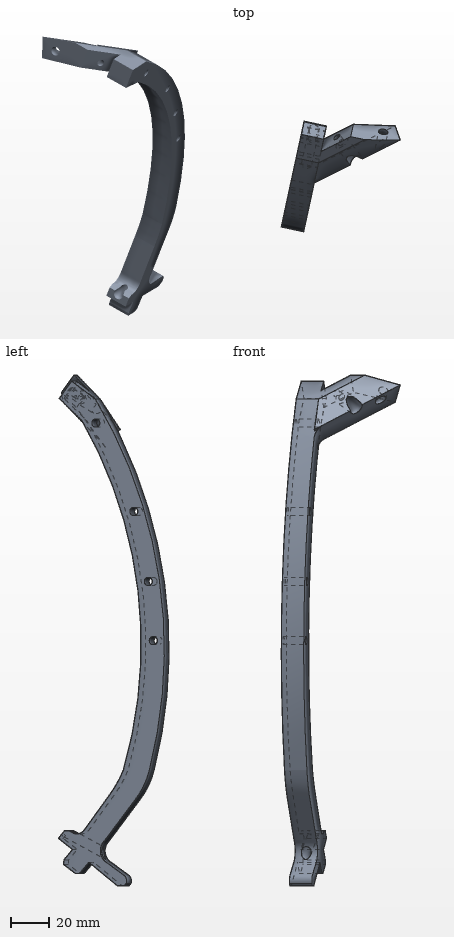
import cadquery as cq
import math

strap_thickness = 12.0
strap_turn = 12.2

end_tilt = 36.5
end_length = 15.7
end_depth = 11.2
outer_kink = (37.0, 254.2)
inner_kink = (44.3, 243.0)

arm_angle = 45
arm_end = 21.0
arm_reach = 80
arm_lip = 5.3
arm_width = 12.8
arm_bevel_drop = 6.5
arm_foot_width = 10.0
arm_foot_depth = 17.5
arm_fillet = 9.3

side_hole_diameter = 4.3
side_holes = [(36.8, 241.5), (16.5, 195.5), (8.8, 159.0), (6.1, 128.0)]
cross_hole_diameter = 3.7
cross_hole_place = 14.5
cross_hole_depth = 6.7
counterbore_diameter = 7.5
counterbore_start = -0.8
end_hole_diameter = 4.8
end_hole_place = 29.5
end_hole_depth = 10.1
foot_hole_diameter = 5.3
foot_hole_mouth = (34.5, 17.5)
foot_hole_tilt = 28
foot_hole_clearance = 4.0
drill_length = 53.3

tilt = math.radians(end_tilt)


def along_end(start, along, outward):
    """Point reached from start by going along the tilted end and out of its outer face."""
    return (
        start[0] + along * math.cos(tilt) - outward * math.sin(tilt),
        start[1] + along * math.sin(tilt) + outward * math.cos(tilt),
    )


def make_strap():
    end_outer = along_end(outer_kink, end_length, 0)
    end_inner = along_end(outer_kink, end_length, -end_depth)
    return (
        cq.Workplane("YZ")
        .moveTo(*end_outer)
        .lineTo(*outer_kink)
        .threePointArc((1.0, 144.0), (8.3, 60.3))
        .threePointArc((11.5, 51.7), (16.5, 44.0))
        .lineTo(32.0, 23.7)
        .threePointArc((34.5, 18.0), (30.5, 11.7))
        .lineTo(22.0, 5.5)
        .threePointArc((20.5, 3.7), (20.5, 1.3))
        .lineTo(21.5, 0)
        .lineTo(25.3, 0)
        .lineTo(40.5, 12.3)
        .lineTo(45.5, 6.5)
        .lineTo(47.7, 6.5)
        .lineTo(54.1, 11.2)
        .lineTo(54.0, 13.5)
        .lineTo(49.3, 19.0)
        .lineTo(56.8, 24.8)
        .lineTo(53.5, 28.8)
        .lineTo(51.2, 28.8)
        .lineTo(48.3, 27.2)
        .threePointArc((45.3, 27.5), (42.7, 29.5))
        .lineTo(29.3, 47.7)
        .threePointArc((25.3, 54.0), (22.1, 60.5))
        .threePointArc((13.3, 144.0), inner_kink)
        .lineTo(*end_inner)
        .close()
        .extrude(strap_thickness)
    )


def place_on_end(body):
    """Move a body from the flat arm frame to the outer kink on the far face of the strap."""
    return body.rotate((0, 0, 0), (1, 0, 0), end_tilt).translate((strap_thickness, *outer_kink))


def make_arm():
    bar = (
        cq.Workplane("XZ")
        .polyline([
            (-arm_lip, 0),
            (0, 0),
            (arm_width, -arm_bevel_drop),
            (arm_foot_width, -arm_foot_depth),
            (-arm_lip, -end_depth),
        ])
        .close()
        .extrude(arm_reach, both=True)
        .rotate((0, 0, 0), (0, 0, 1), -arm_angle)
    )
    room = cq.Workplane("XY").box(arm_reach, arm_reach, arm_reach, centered=(False, True, True))
    room = room.translate((0, arm_end - arm_reach / 2, 0))
    return place_on_end(bar.intersect(room))


def make_arm_drills():
    cross_plane = cq.Workplane("YZ", origin=(0, cross_hole_place, -cross_hole_depth))
    cross = cross_plane.circle(cross_hole_diameter / 2).extrude(2 * arm_lip, both=True)
    bore = (
        cross_plane.workplane(offset=counterbore_start)
        .circle(counterbore_diameter / 2)
        .extrude(drill_length)
    )
    cross = cross.union(bore).rotate((0, 0, 0), (0, 0, 1), -arm_angle)
    end = (
        cq.Workplane("XZ", origin=(end_hole_place, arm_end, -end_hole_depth))
        .circle(end_hole_diameter / 2)
        .extrude(drill_length / 2, both=True)
    )
    return place_on_end(cross.union(end))


def make_side_drills():
    return (
        cq.Workplane("YZ")
        .pushPoints(side_holes)
        .circle(side_hole_diameter / 2)
        .extrude(strap_thickness)
    )


def make_foot_drill():
    """Hole from the hollow corner above the foot, rising through the upper lug."""
    start = (strap_thickness / 2, *foot_hole_mouth)
    rise = math.radians(foot_hole_tilt)
    direction = (0, math.cos(rise), math.sin(rise))
    plane = cq.Plane(origin=start, xDir=(1, 0, 0), normal=direction)
    return (
        cq.Workplane(plane)
        .workplane(offset=-foot_hole_clearance)
        .circle(foot_hole_diameter / 2)
        .extrude(drill_length)
    )


body = make_strap().union(make_arm())

crotch = along_end(outer_kink, -arm_width * math.sqrt(2), -end_depth)
crotch_edge = cq.selectors.NearestToPointSelector((strap_thickness, *crotch))
body = body.edges(crotch_edge).fillet(arm_fillet)

for drill in (make_arm_drills(), make_side_drills(), make_foot_drill()):
    body = body.cut(drill)

result = body.rotate((0, 0, 0), (0, 0, 1), -strap_turn)